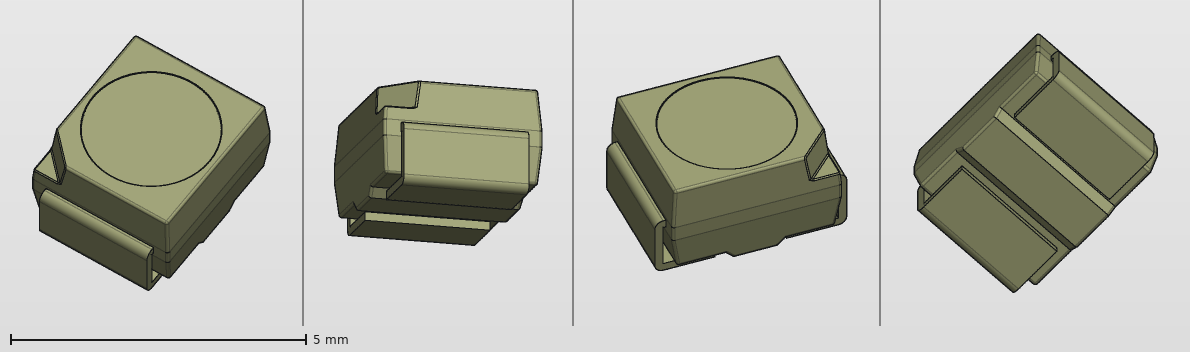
import cadquery as cq
import math

OVERALL_LENGTH = 3.5
TOTAL_HEIGHT = 1.9

HOUSING_WIDTH = 2.8
HOUSING_LENGTH = 3.1
BAND_TOP = 1.16
BAND_BOTTOM = 0.875
FLOOR_Z = 0.238
FOOT_Z = 0.088
FOOT_LENGTH = 0.8
DRAFT = 5.0
LOWER_END_DRAFT = 10.0
EDGE_RADIUS = 0.05

NOTCH_FLOOR_Z = 1.4
NOTCH_LEG = 0.59
NOTCH_DRAFT = 10.0
NOTCH_CHAMFER = 0.02

LEAD_WIDTH = 2.2
LEAD_THICKNESS = 0.15
LEAD_TOP = 1.102
LEAD_FOOT_LENGTH = 1.1
LEAD_BEND_RADIUS = 0.15
LEAD_EMBED = 0.105

CUP_RIM_DIAMETER = 2.4
CUP_WALL_DRAFT = 15.0
CUP_DEPTH = 0.05
LENS_SETBACK = 0.01

TOLERANCE = 0.01


def inset(height, draft):
    """Horizontal run of a drafted wall over a height."""
    return height * math.tan(math.radians(draft))


def housing_blank():
    """Drafted block: the end outline and the side outline, each extruded, share this volume."""
    half_width = HOUSING_WIDTH / 2
    half_length = HOUSING_LENGTH / 2
    top_inset = inset(TOTAL_HEIGHT - BAND_TOP, DRAFT)
    foot_inset = inset(BAND_BOTTOM - FOOT_Z, DRAFT)
    floor_inset = inset(BAND_BOTTOM - FLOOR_Z, LOWER_END_DRAFT)
    half_foot = FOOT_LENGTH / 2
    half_foot_root = half_foot + FLOOR_Z - FOOT_Z

    end_half = [
        (half_width - foot_inset, FOOT_Z),
        (half_width, BAND_BOTTOM),
        (half_width, BAND_TOP),
        (half_width - top_inset, TOTAL_HEIGHT),
    ]
    side_half = [
        (half_foot, FOOT_Z),
        (half_foot_root, FLOOR_Z),
        (half_length - floor_inset, FLOOR_Z),
        (half_length, BAND_BOTTOM),
        (half_length, BAND_TOP),
        (half_length - top_inset, TOTAL_HEIGHT),
    ]
    end_prism = symmetric_prism("XZ", end_half, HOUSING_LENGTH)
    side_prism = symmetric_prism("YZ", side_half, HOUSING_WIDTH)
    return end_prism.intersect(side_prism)


def symmetric_prism(plane, half_outline, length):
    """Prism about the middle plane, its outline mirrored across the Z axis."""
    mirrored = [(-across, z) for across, z in reversed(half_outline)]
    return cq.Workplane(plane).polyline(half_outline + mirrored).close().extrude(length / 2, both=True)


def is_sharp(edge):
    """True for the parting lines of the band and for the cross edges of the foot."""
    middle = edge.Center()
    on_parting_line = any(abs(middle.z - z) < TOLERANCE for z in (BAND_TOP, BAND_BOTTOM))
    on_foot = abs(middle.x) < TOLERANCE and abs(middle.y) < FOOT_LENGTH
    return on_parting_line or (on_foot and middle.z < BAND_BOTTOM)


def housing_tier(blank, bottom_z, top_z):
    """Slice of the blank between two heights, rounded at its corners and rims."""
    slab = (
        cq.Workplane("XY", origin=(0, 0, bottom_z))
        .rect(HOUSING_WIDTH, HOUSING_LENGTH)
        .extrude(top_z - bottom_z)
    )
    tier = blank.intersect(slab)
    rounded = [edge for edge in tier.edges().vals() if not is_sharp(edge)]
    return tier.newObject(rounded).fillet(EDGE_RADIUS)


def rounded_housing():
    """Housing of three tiers: drafted underside, vertical band, drafted top."""
    blank = housing_blank()
    lower = housing_tier(blank, FOOT_Z, BAND_BOTTOM)
    band = housing_tier(blank, BAND_BOTTOM, BAND_TOP)
    upper = housing_tier(blank, BAND_TOP, TOTAL_HEIGHT)
    return lower.union(band).union(upper)


def notch_cutter():
    """Wedge across the top corner at -X, -Y, its diagonal wall leaning back with height."""
    rise = TOTAL_HEIGHT - NOTCH_FLOOR_Z
    floor_reach = NOTCH_LEG / math.sqrt(2)
    top_reach = floor_reach + inset(rise, NOTCH_DRAFT)
    section = [(0, NOTCH_FLOOR_Z), (floor_reach, NOTCH_FLOOR_Z), (top_reach, TOTAL_HEIGHT), (0, TOTAL_HEIGHT)]
    diagonal = cq.Plane(
        origin=(-HOUSING_WIDTH / 2, -HOUSING_LENGTH / 2, 0),
        xDir=(1, 1, 0),
        normal=(1, -1, 0),
    )
    return cq.Workplane(diagonal).polyline(section).close().extrude(2 * NOTCH_LEG, both=True)


def cut_notch(body):
    """Cut the polarity notch and bevel the edges of its wall and floor."""
    notched = body.cut(notch_cutter())
    tilt = math.radians(NOTCH_DRAFT)
    sideways = -math.cos(tilt) / math.sqrt(2)
    wall_normal = cq.Vector(sideways, sideways, math.sin(tilt))
    notch_edges = []
    for face in notched.faces("%PLANE").vals():
        on_wall = (face.normalAt() - wall_normal).Length < TOLERANCE
        on_floor = abs(face.Center().z - NOTCH_FLOOR_Z) < TOLERANCE
        if on_wall or on_floor:
            notch_edges += [edge for edge in face.Edges() if not any(edge.isSame(e) for e in notch_edges)]
    return notched.newObject(notch_edges).chamfer(NOTCH_CHAMFER)


def lead():
    """C-shaped lead at the -Y end, bent under the housing."""
    outer_y = -OVERALL_LENGTH / 2
    inner_y = outer_y + LEAD_THICKNESS
    root_y = -HOUSING_LENGTH / 2 + LEAD_EMBED
    foot_y = outer_y + LEAD_FOOT_LENGTH
    outline = [
        (root_y, LEAD_TOP),
        (outer_y, LEAD_TOP),
        (outer_y, 0),
        (foot_y, 0),
        (foot_y, LEAD_THICKNESS),
        (inner_y, LEAD_THICKNESS),
        (inner_y, LEAD_TOP - LEAD_THICKNESS),
        (root_y, LEAD_TOP - LEAD_THICKNESS),
    ]
    strip = cq.Workplane("YZ").polyline(outline).close().extrude(LEAD_WIDTH / 2, both=True)
    return strip.faces("<Y").edges("|X").fillet(LEAD_BEND_RADIUS)


def cup_floor_radius():
    """Radius of the cup floor, shared by the lens."""
    return CUP_RIM_DIAMETER / 2 - inset(CUP_DEPTH, CUP_WALL_DRAFT)


def cup_cutter():
    """Frustum that leaves the cup, widening towards the top face."""
    floor_z = TOTAL_HEIGHT - CUP_DEPTH
    rim_radius = CUP_RIM_DIAMETER / 2
    section = [(0, floor_z), (cup_floor_radius(), floor_z), (rim_radius, TOTAL_HEIGHT), (0, TOTAL_HEIGHT)]
    return cq.Workplane("XZ").polyline(section).close().revolve(360, (0, 0), (0, 1))


def make_housing():
    """Housing with the polarity notch, both leads and the cup."""
    near_lead = lead()
    far_lead = near_lead.mirror("XZ")
    return cut_notch(rounded_housing()).union(near_lead).union(far_lead).cut(cup_cutter())


def make_lens():
    """Straight disc that fills the cup floor and leaves a fine groove along the cup wall."""
    return (
        cq.Workplane("XY", origin=(0, 0, TOTAL_HEIGHT - CUP_DEPTH))
        .circle(cup_floor_radius())
        .extrude(CUP_DEPTH - LENS_SETBACK)
    )


housing = make_housing()
lens = make_lens()

result = cq.Compound.makeCompound([housing.val(), lens.val()])